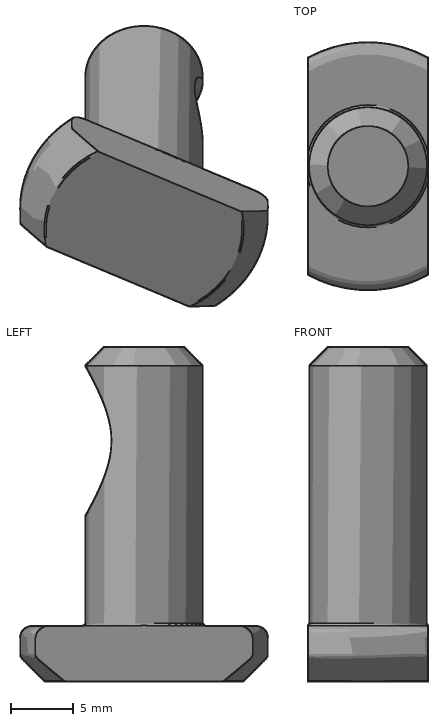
import cadquery as cq
import math

total_height = 27.0
head_width = 9.7
head_height = 4.5

head_length = 20.0
head_radius = head_length / 2
head_top_fillet = 1.0
head_bottom_radius = 8.0
head_cone_fillet = 0.5
head_bottom_fillet = 0.22

shank_radius = 4.75
shank_chamfer = 1.5
neck_fillet = 0.2

notch_radius = 6.08
notch_center_z = 19.4


def turned_head():
    """Disc with a 45 degree cone below and rounded edges."""
    cone_height = head_radius - head_bottom_radius
    return (
        cq.Workplane("XZ")
        .polyline([
            (0, 0),
            (head_bottom_radius, 0),
            (head_radius, cone_height),
            (head_radius, head_height),
            (0, head_height),
        ])
        .close()
        .revolve(360, (0, 0), (0, 1))
        .faces(">Z").edges().fillet(head_top_fillet)
        .faces("<Z").edges().fillet(head_bottom_fillet)
        .edges(cq.selectors.RadiusNthSelector(-1)).edges("<Z")
        .fillet(head_cone_fillet)
    )


def shank():
    """Round shank with a chamfered tip and a small concave fillet at the head."""
    tip_radius = shank_radius - shank_chamfer
    arc_offset = neck_fillet * (1 - math.sqrt(0.5))
    return (
        cq.Workplane("XZ")
        .moveTo(0, head_height)
        .lineTo(shank_radius + neck_fillet, head_height)
        .threePointArc(
            (shank_radius + arc_offset, head_height + arc_offset),
            (shank_radius, head_height + neck_fillet),
        )
        .lineTo(shank_radius, total_height - shank_chamfer)
        .lineTo(tip_radius, total_height)
        .lineTo(0, total_height)
        .close()
        .revolve(360, (0, 0), (0, 1))
    )


def notch():
    """Cone along Y, widening outwards, with its point just past the shank axis."""
    point_y = shank_radius - notch_radius
    mouth_y = 2 * shank_radius
    depth = mouth_y - point_y
    return cq.Workplane(
        cq.Solid.makeCone(
            0, depth, depth,
            pnt=cq.Vector(0, point_y, notch_center_z),
            dir=cq.Vector(0, 1, 0),
        )
    )


flats = cq.Workplane("XY").box(
    head_width, head_length, total_height, centered=(True, True, False)
)
result = turned_head().union(shank()).intersect(flats).cut(notch())